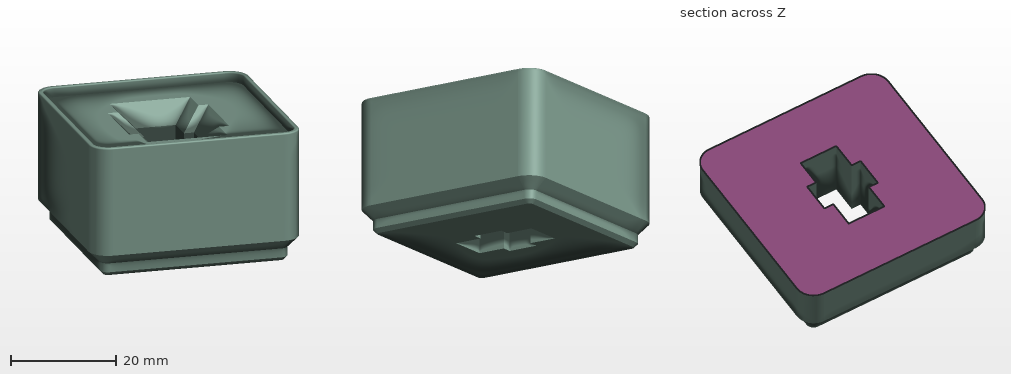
import cadquery as cq

width = 41.5
height = 26.15
corner_radius = 3.78

foot_chamfer = 0.8
foot_straight = 1.8
foot_flare = 2.15

rim_width = 1.0
rim_height = 2.0
rim_fillet = 0.3

cross_long = (25.3, 15.95)
cross_tall = (14.2, 19.9)
funnel_depth = 4.03

floor_z = height - rim_height


def rounded_prism(inset, bottom, depth, taper=0):
    """Rounded square set in from the block sides; taper narrows it upward."""
    side = width - 2 * inset
    return (
        cq.Workplane("XY", origin=(0, 0, bottom))
        .sketch()
        .rect(side, side)
        .vertices()
        .fillet(corner_radius - inset)
        .finalize()
        .extrude(depth, taper=taper)
    )


def funnel_hole(size):
    """Rectangular through hole with a 45 degree funnel below the floor."""
    throat = [length - 2 * funnel_depth for length in size]
    funnel = (
        cq.Workplane("XY", origin=(0, 0, floor_z))
        .rect(*size)
        .workplane(offset=-funnel_depth)
        .rect(*throat)
        .loft(ruled=True)
    )
    shaft = cq.Workplane("XY").rect(*throat).extrude(floor_z - funnel_depth)
    return funnel.union(shaft)


flare_bottom = foot_chamfer + foot_straight
body_bottom = flare_bottom + foot_flare
foot = rounded_prism(foot_flare, 0, flare_bottom).faces("<Z").chamfer(foot_chamfer)
flare = rounded_prism(foot_flare, flare_bottom, foot_flare, taper=-45)

body = rounded_prism(0, body_bottom, height - body_bottom)

recess = rounded_prism(rim_width, floor_z, rim_height)

result = foot.union(flare).union(body).cut(recess)
result = result.faces(">Z").edges().fillet(rim_fillet)
for rectangle in (cross_long, cross_tall):
    result = result.cut(funnel_hole(rectangle))